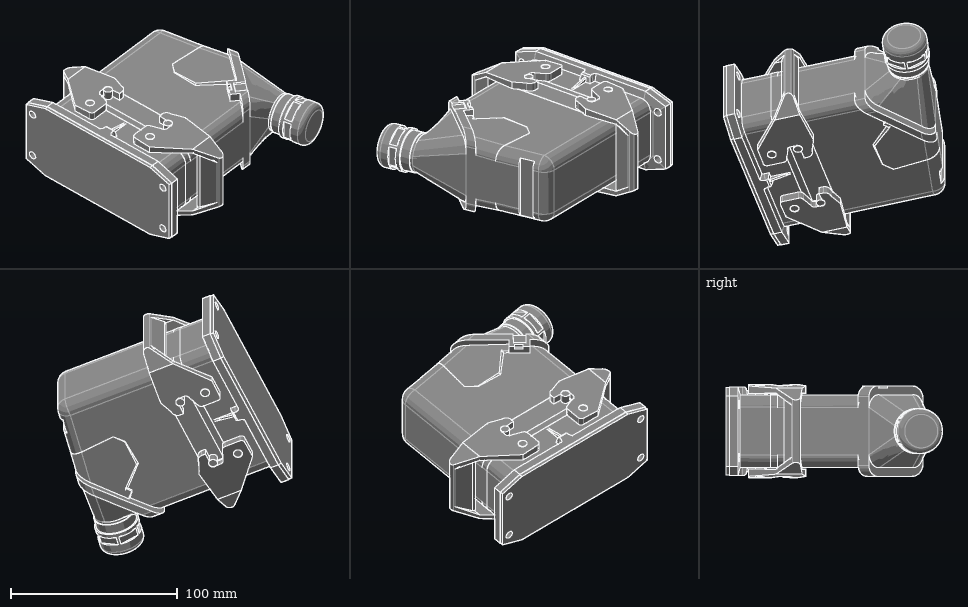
import cadquery as cq
import math


PLATE_HALF_X = 57.1
PLATE_HALF_Z = 26.6
PLATE_FLAT_X = 41.7
PLATE_FLAT_Z = 21.2
GASKET_HALF_X = 56.8
GASKET_HALF_Z = 26.3
GASKET_HEIGHT = 2.1
PLATE_TOP = 7.2
SKIRT_TOP = 8.5
SKIRT_HALF_X = 48.6
SCREW_X = 51.7
SCREW_Z = 15.95
SCREW_DIA = 4.8

BODY_HALF_X = 46.7
BODY_HALF_Z = 21.8
HOUSING_HALF_X = 46.6
HOUSING_RADIUS = 7.4
LIP_THICKNESS = 0.1
HOOD_RADIUS = 7.6
HOOD_BOTTOM = 31.0
HOOD_LEFT_HEIGHT = 108.65
ROOF_ANGLE = 10.0
NOTCH_START = 10.1
NOTCH_LENGTH = 9.5
NOTCH_DEPTH = 2.0
BAND_TOP = 44.8
BAND_HALF_X = 26.4
BAND_THICKNESS = 0.15
LIP_BOTTOM = 26.7

TAB_HALF_X = 4.0
TAB_DRAFT = 11.0
TAB_TOP = 12.9
TAB_FILLET = 2.8
TAB_BEVEL = 0.9
RIB_HALF_X = 0.7
RIB_TOP = 25.0
RIB_BOTTOM = 11.0
RIB_DEPTH = 3.0

COLLAR_ANGLE = 39.9
COLLAR_X = 7.8
COLLAR_THICKNESS = 5.0
COLLAR_HALF_Z = 27.2
COLLAR_ROOF_RADIUS = 8.0
COLLAR_WALL_RADIUS = 6.5
ENTRY_RADIUS = 12.0
ENTRY_BASE_RADIUS = 9.9
SEAT_SIDE_ANGLE = 25.0
SEAT_TOP_ANGLE = 75.0
ENTRY_END = 64.8
NECK_END = 66.6
RING_END = 72.8
SHOULDER_END = 75.6
HEX_END = 80.7
GLAND_END = 89.44
RING_RADIUS = 12.5
GLAND_RADIUS = 13.54
HEX_FLATS = 24.2
HEX_TURN = 30.0
CAP_FILLET = 3.5

LATCH_START = 30.9
LATCH_END = 43.6
LATCH_DROP = 11.0
LATCH_POCKET_START = 33.5
LATCH_POCKET_END = 41.2
LATCH_POCKET_DROP = 7.3
LATCH_POCKET_DEPTH = 1.2
LATCH_NOTCH_START = 34.2
LATCH_NOTCH_END = 39.4
LATCH_NOTCH_TOP = 9.2
LATCH_NOTCH_DEPTH = 2.0
LATCH_OVERLAP = 1.0

PAD_RISE = 1.5
PAD_DRAFT = 45.0
PAD_OUTLINE = [
    (-11.0, 125),
    (-14.6, 85.2),
    (-8.6, 80.0),
    (8.8, 79.3),
    (22.2, 92.3),
    (24.6, 90.5),
    (32, 96),
    (32, 125),
]
PAD_SHOULDER = [(22.2, 92.3), (24.6, 90.5), (30, 96), (21, 93.5)]

PIN_X = 23.8
PIN_LOW_Y = 20.5
PIN_HIGH_Y = 36.9
PIN_RADIUS = 2.65
PIN_HALF_Z = 27.75
LEVER_REACH = 60.0
LEVER_CLEARANCE = 0.9
LEVER_TOP_HALF_Z = 28.0
LEVER_BEND_X = 49.5
LEVER_BEND_HALF_Z = 25.8
LEVER_TIP_X = 62.4
LEVER_END_X = 62.3
LEVER_TIP_HALF_Z = 18.7
LEVER_TIP_WALL = 4.0
LEVER_INNER_X = 15.8
HOOK_TIP_Y = 38.3
BAR_TIP_Y = 39.3
BAR_STEP_TIP_X = 60.9
BAR_STEP_X = 51.2
BAR_BOTTOM_Y = 34.8
BAR_INNER_X = 48.8

DIAGONAL = math.sqrt(0.5)

roof_slope = math.tan(math.radians(ROOF_ANGLE))
roof_cos = math.cos(math.radians(ROOF_ANGLE))
roof_sin = math.sin(math.radians(ROOF_ANGLE))
collar_cos = math.cos(math.radians(COLLAR_ANGLE))
collar_sin = math.sin(math.radians(COLLAR_ANGLE))

ROOF_DIRECTION = cq.Vector(roof_cos, roof_sin, 0)
ROOF_NORMAL = cq.Vector(-roof_sin, roof_cos, 0)


def roof_height(x):
    return HOOD_LEFT_HEIGHT + (x + BODY_HALF_X) * roof_slope


COLLAR_Y = roof_height(COLLAR_X)
COLLAR_LENGTH = (BODY_HALF_X - COLLAR_X) / collar_cos
AXIS_OFFSET = roof_height(0) * roof_cos - ENTRY_RADIUS

collar_plane = cq.Plane((COLLAR_X, COLLAR_Y, 0), (collar_cos, -collar_sin, 0), (0, 0, 1))


def slab(half_x, half_z, flat_x, flat_z):
    """Wire points of a rectangle in XZ with four cut corners."""
    right = [(half_x, -flat_z), (half_x, flat_z), (flat_x, half_z)]
    left = [(-flat_x, half_z), (-half_x, flat_z), (-half_x, -flat_z)]
    return right + left + [(-flat_x, -half_z), (flat_x, -half_z)]


def at_height(y):
    """Sketch plane at height y with local axes X, Z and normal -Y."""
    return cq.Workplane("XZ", origin=(0, y, 0))


def mounting_plate():
    gasket = at_height(0).polyline(slab(GASKET_HALF_X, GASKET_HALF_Z, PLATE_FLAT_X, PLATE_FLAT_Z)).close()
    gasket = gasket.extrude(-GASKET_HEIGHT)
    outline = slab(PLATE_HALF_X, PLATE_HALF_Z, PLATE_FLAT_X, PLATE_FLAT_Z)
    flange = at_height(GASKET_HEIGHT).polyline(outline).close().extrude(GASKET_HEIGHT - PLATE_TOP)
    inner = slab(SKIRT_HALF_X, BODY_HALF_Z, PLATE_FLAT_X, BODY_HALF_Z - HOUSING_RADIUS)
    skirt = at_height(PLATE_TOP).polyline(outline).close()
    skirt = skirt.workplane(offset=PLATE_TOP - SKIRT_TOP).polyline(inner).close().loft(ruled=True)
    screws = at_height(0).rect(2 * SCREW_X, 2 * SCREW_Z, forConstruction=True).vertices()
    screws = screws.circle(SCREW_DIA / 2).extrude(-SKIRT_TOP)
    return gasket.union(flange).union(skirt).cut(screws)


def wall_block(half_x, half_z, low, high):
    block = at_height(low).rect(2 * half_x, 2 * half_z).extrude(low - high)
    return block.edges("|Y").fillet(HOUSING_RADIUS)


def housing():
    walls = wall_block(HOUSING_HALF_X, BODY_HALF_Z, GASKET_HEIGHT, HOOD_BOTTOM)
    lip_half_x = HOUSING_HALF_X + LIP_THICKNESS
    lip_half_z = BODY_HALF_Z + LIP_THICKNESS
    return walls.union(wall_block(lip_half_x, lip_half_z, LIP_BOTTOM, HOOD_BOTTOM))


def hood_outline(half_z):
    """Sharp-edged block under the sloped roof."""
    outline = [
        (-BODY_HALF_X, HOOD_BOTTOM),
        (BODY_HALF_X, HOOD_BOTTOM),
        (BODY_HALF_X, roof_height(BODY_HALF_X)),
        (-BODY_HALF_X, HOOD_LEFT_HEIGHT),
    ]
    return cq.Workplane("XY").polyline(outline).close().extrude(half_z, both=True)


def side_pad():
    """Pad on the +Z side that rises out of the hood towards +X, with drafted walls."""
    start_x = PAD_OUTLINE[1][0]
    wall_x = PAD_OUTLINE[4][0]
    end_z = BODY_HALF_Z + PAD_RISE * (BODY_HALF_X - start_x) / (wall_x - start_x)
    wedge = [(start_x - PAD_RISE, 0), (start_x, BODY_HALF_Z), (BODY_HALF_X, end_z), (BODY_HALF_X, 0)]
    pad = cq.Workplane("XZ").polyline(wedge).close().extrude(-2 * HOOD_LEFT_HEIGHT)
    pad = pad.intersect(hood_outline(end_z))
    roof = pad.faces(cq.selectors.DirectionMinMaxSelector(ROOF_NORMAL, True))
    pad = roof.edges(">Z").fillet(HOOD_RADIUS)
    outline = cq.Workplane("XY").polyline(PAD_OUTLINE).close().extrude(BODY_HALF_Z)
    drafted = cq.Workplane("XY", origin=(0, 0, BODY_HALF_Z)).polyline(PAD_OUTLINE).close()
    drafted = drafted.extrude(end_z - BODY_HALF_Z, taper=PAD_DRAFT)
    shoulder = cq.Workplane("XY").polyline(PAD_SHOULDER).close().extrude(end_z)
    return pad.intersect(outline.union(drafted).union(shoulder))


def hood():
    body = hood_outline(BODY_HALF_Z).edges("not <Y").fillet(HOOD_RADIUS)
    pad = side_pad()
    body = body.union(pad).union(pad.mirror("XY"))
    band = at_height(HOOD_BOTTOM).rect(2 * BAND_HALF_X, 2 * (BODY_HALF_Z + BAND_THICKNESS))
    body = body.union(band.extrude(HOOD_BOTTOM - BAND_TOP))
    roof_plane = cq.Plane((-BODY_HALF_X, HOOD_LEFT_HEIGHT, 0), (roof_cos, roof_sin, 0), (0, 0, 1))
    notch = cq.Workplane(roof_plane).center(NOTCH_START + NOTCH_LENGTH / 2, 0)
    notch = notch.rect(NOTCH_LENGTH, 2 * NOTCH_DEPTH).extrude(BODY_HALF_Z, both=True)
    beyond = cq.Workplane(collar_plane).center(0, 2 * COLLAR_LENGTH)
    beyond = beyond.rect(4 * COLLAR_LENGTH, 4 * COLLAR_LENGTH).extrude(2 * BODY_HALF_Z, both=True)
    return body.cut(notch).cut(beyond)


def collar():
    ring = cq.Workplane(collar_plane).center(0, -COLLAR_THICKNESS / 2)
    ring = ring.rect(4 * COLLAR_LENGTH, COLLAR_THICKNESS).extrude(COLLAR_HALF_Z, both=True)
    along_roof = cq.selectors.ParallelDirSelector(ROOF_DIRECTION)
    envelope = hood_outline(COLLAR_HALF_Z)
    envelope = envelope.edges(along_roof).fillet(COLLAR_ROOF_RADIUS)
    envelope = envelope.edges("|Y and >X").fillet(COLLAR_WALL_RADIUS)
    ring = ring.intersect(envelope)

    def block(start, end, low, high, bottom_z):
        sketch = cq.Workplane(collar_plane).workplane(offset=bottom_z)
        sketch = sketch.center((start + end) / 2, (low + high) / 2)
        return sketch.rect(end - start, high - low).extrude(COLLAR_HALF_Z - bottom_z)

    latch = block(LATCH_START, LATCH_END, -LATCH_DROP, -COLLAR_THICKNESS / 2, BODY_HALF_Z - LATCH_OVERLAP)
    pocket_floor = COLLAR_HALF_Z - LATCH_POCKET_DEPTH
    pocket = block(LATCH_POCKET_START, LATCH_POCKET_END, -LATCH_POCKET_DROP, 0, pocket_floor)
    notch = block(
        LATCH_NOTCH_START, LATCH_NOTCH_END, -LATCH_DROP, -LATCH_NOTCH_TOP, COLLAR_HALF_Z - LATCH_NOTCH_DEPTH)
    return ring.union(latch).cut(pocket).cut(notch)


def gland_plane(distance):
    """Plane across the gland axis, local x along Z."""
    origin = (
        distance * roof_cos - AXIS_OFFSET * roof_sin,
        distance * roof_sin + AXIS_OFFSET * roof_cos,
        0,
    )
    return cq.Plane(origin, (0, 0, 1), (roof_cos, roof_sin, 0))


def cable_entry():
    """Transition from the rounded collar opening to the round gland seat."""
    half_z = BODY_HALF_Z
    half_s = COLLAR_LENGTH / 2
    flat_z = half_z - HOOD_RADIUS
    flat_s = half_s - ENTRY_BASE_RADIUS
    bow_z = HOOD_RADIUS * DIAGONAL
    bow_s = ENTRY_BASE_RADIUS * DIAGONAL
    centre = collar_plane.toWorldCoords((half_s, 0))
    face = cq.Plane(centre, (0, 0, 1), (collar_sin, collar_cos, 0))
    base = cq.Workplane(face).moveTo(half_z, -flat_s)
    base = base.lineTo(half_z, flat_s).threePointArc((flat_z + bow_z, flat_s + bow_s), (flat_z, half_s))
    base = base.lineTo(-flat_z, half_s).threePointArc((-flat_z - bow_z, flat_s + bow_s), (-half_z, flat_s))
    base = base.lineTo(-half_z, -flat_s).threePointArc((-flat_z - bow_z, -flat_s - bow_s), (-flat_z, -half_s))
    base = base.lineTo(flat_z, -half_s).threePointArc((flat_z + bow_z, -flat_s - bow_s), (half_z, -flat_s))

    def seat_point(angle):
        return (ENTRY_RADIUS * math.cos(math.radians(angle)), ENTRY_RADIUS * math.sin(math.radians(angle)))

    ends = [SEAT_SIDE_ANGLE, SEAT_TOP_ANGLE]
    ends = ends + [180 - angle for angle in reversed(ends)]
    ends = ends + [angle + 180 for angle in ends]
    seat = cq.Workplane(gland_plane(ENTRY_END)).moveTo(*seat_point(-SEAT_SIDE_ANGLE))
    before = -SEAT_SIDE_ANGLE
    for after in ends:
        seat = seat.threePointArc(seat_point((before + after) / 2), seat_point(after))
        before = after
    return cq.Workplane(cq.Solid.makeLoft([base.wire().val(), seat.wire().val()], True))


def gland():
    def ring(start, end, radius):
        return cq.Workplane(gland_plane(start)).circle(radius).extrude(end - start)

    body = ring(ENTRY_END, NECK_END, ENTRY_RADIUS)
    body = body.union(ring(NECK_END, RING_END, RING_RADIUS))
    body = body.union(ring(RING_END, SHOULDER_END, GLAND_RADIUS))
    hexagon = cq.Workplane(gland_plane(SHOULDER_END)).transformed(rotate=(0, 0, HEX_TURN))
    hexagon = hexagon.polygon(6, HEX_FLATS, circumscribed=True)
    hexagon = hexagon.extrude(HEX_END - SHOULDER_END)
    body = body.union(hexagon.intersect(ring(SHOULDER_END, HEX_END, GLAND_RADIUS)))
    cap = ring(HEX_END, GLAND_END, GLAND_RADIUS)
    cap = cap.faces(cq.selectors.DirectionMinMaxSelector(ROOF_DIRECTION, True)).edges().fillet(CAP_FILLET)
    return body.union(cap)


def centre_tab():
    depth = PLATE_HALF_Z - BODY_HALF_Z
    foot = TAB_HALF_X + TAB_FILLET
    profile = cq.Workplane("XY", origin=(0, 0, BODY_HALF_Z))
    profile = profile.moveTo(-foot, GASKET_HEIGHT).lineTo(-foot, PLATE_TOP)
    bend = TAB_FILLET * (1 - DIAGONAL)
    profile = profile.threePointArc(
        (-TAB_HALF_X - bend, PLATE_TOP + bend), (-TAB_HALF_X, PLATE_TOP + TAB_FILLET))
    profile = profile.lineTo(-TAB_HALF_X, TAB_TOP).lineTo(TAB_HALF_X, TAB_TOP)
    profile = profile.lineTo(TAB_HALF_X, PLATE_TOP + TAB_FILLET)
    profile = profile.threePointArc((TAB_HALF_X + bend, PLATE_TOP + bend), (foot, PLATE_TOP))
    profile = profile.lineTo(foot, GASKET_HEIGHT).close()
    tab = profile.extrude(depth, taper=TAB_DRAFT).faces(">Z").edges(">Y").chamfer(TAB_BEVEL)
    rib = cq.Workplane("YZ").polyline(
        [(RIB_BOTTOM, 0), (RIB_BOTTOM, BODY_HALF_Z + RIB_DEPTH), (RIB_TOP, BODY_HALF_Z), (RIB_TOP, 0)])
    return tab.union(rib.close().extrude(RIB_HALF_X, both=True))


def lever():
    """Lever on the -X end with its two ears, the cross bar and the pins."""
    outline = (
        cq.Workplane("XY")
        .moveTo(-59.0, 44.7)
        .lineTo(-28.0, 47.9)
        .lineTo(-19.6, 44.5)
        .threePointArc((-16.8, 43.2), (-LEVER_INNER_X, 41.0))
        .lineTo(-LEVER_INNER_X, HOOK_TIP_Y)
        .lineTo(-PIN_X + math.sqrt(PIN_RADIUS ** 2 - (HOOK_TIP_Y - PIN_HIGH_Y) ** 2), HOOK_TIP_Y)
        .threePointArc((-PIN_X, PIN_HIGH_Y + PIN_RADIUS), (-PIN_X - PIN_RADIUS, PIN_HIGH_Y))
        .lineTo(-26.45, 32.9)
        .threePointArc((-25.8, 31.4), (-24.1, 30.6))
        .lineTo(-17.8, 28.0)
        .threePointArc((-16.4, 27.1), (-LEVER_INNER_X, 25.5))
        .lineTo(-LEVER_INNER_X, 15.5)
        .threePointArc((-16.5, 14.0), (-18.0, 13.4))
        .lineTo(-29.5, 13.4)
        .lineTo(-61.6, 39.9)
        .threePointArc((-LEVER_END_X, 41.9), (-61.5, 43.8))
        .threePointArc((-60.4, 44.5), (-59.0, 44.7))
        .close()
        .extrude(LEVER_TOP_HALF_Z, both=True)
    )

    inner_z = BODY_HALF_Z + LEVER_CLEARANCE
    tip_inner_z = LEVER_TIP_HALF_Z - LEVER_TIP_WALL
    ear = [
        (-LEVER_TIP_X, LEVER_TIP_HALF_Z),
        (-LEVER_BEND_X, LEVER_BEND_HALF_Z),
        (-LEVER_INNER_X, LEVER_TOP_HALF_Z),
        (-LEVER_INNER_X, inner_z),
        (-LEVER_BEND_X, inner_z),
        (-LEVER_TIP_X, tip_inner_z),
    ]
    ears = at_height(0).polyline(ear).close().extrude(-LEVER_REACH)
    ears = ears.union(ears.mirror("XY"))
    bar_plan = [(-LEVER_TIP_X, tip_inner_z), (-LEVER_BEND_X, inner_z), (-BAR_INNER_X, inner_z)]
    bar_plan = bar_plan + [(x, -z) for x, z in reversed(bar_plan)]
    bar = at_height(0).polyline(bar_plan).close().extrude(-LEVER_REACH)
    bar_profile = [
        (-LEVER_TIP_X, BAND_TOP),
        (-LEVER_TIP_X, BAR_TIP_Y),
        (-BAR_STEP_TIP_X, BAR_TIP_Y),
        (-BAR_STEP_X, BAR_BOTTOM_Y),
        (-BAR_INNER_X, BAR_BOTTOM_Y),
        (-BAR_INNER_X, BAND_TOP),
    ]
    bar_profile = cq.Workplane("XY").polyline(bar_profile).close().extrude(inner_z, both=True)
    bar = bar.intersect(bar_profile)
    pins = cq.Workplane("XY").pushPoints([(-PIN_X, PIN_LOW_Y), (-PIN_X, PIN_HIGH_Y)])
    pins = pins.circle(PIN_RADIUS).extrude(PIN_HALF_Z, both=True)
    return outline.intersect(ears.union(bar)).union(pins)


left_lever = lever()
result = mounting_plate().union(housing())
result = result.union(hood()).union(collar()).union(cable_entry()).union(gland())
tab = centre_tab()
result = result.union(tab).union(tab.mirror("XY"))
result = result.union(left_lever).union(left_lever.mirror("YZ"))